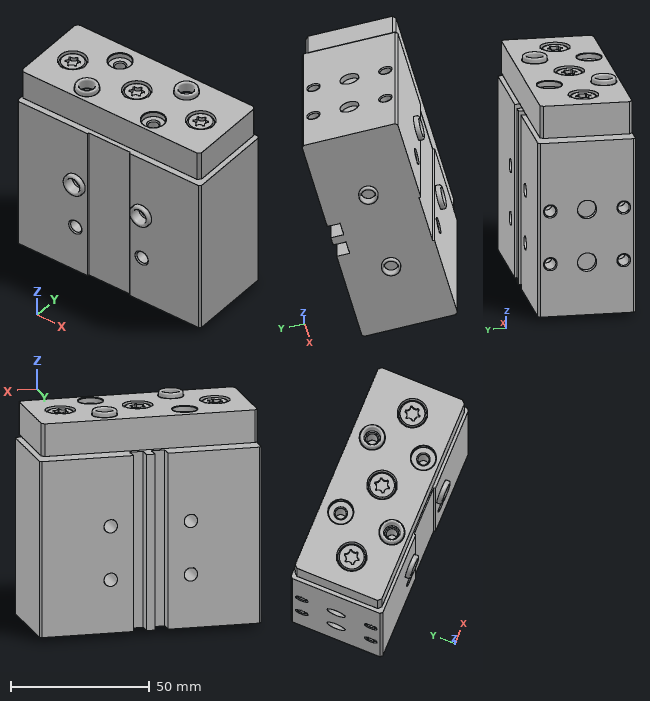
import cadquery as cq
import math


HOUSING_X = 83.0
HOUSING_Y = 36.0
HOUSING_Z = 66.0
HOUSING_CHAMFER = 0.8
FRONT_Y = -HOUSING_Y / 2
BACK_Y = HOUSING_Y / 2
LEFT_X = -HOUSING_X / 2
PANEL_WIDTH = 19.0
PANEL_DEPTH = 0.7
PANEL_FLANK = 0.25
SLOT_WIDTH = 4.9
SLOT_DEPTH = 4.9
SLOT_RIB = 3.15

PATTERN_X = 30.0
PATTERN_STEP = 20.0
MOUNT_HEIGHTS = (PATTERN_STEP, 2 * PATTERN_STEP)
THROUGH_DIAMETER = 5.0
THROUGH_RIM_DIAMETER = 6.0

SIDE_HOLE_SPACING = 27.0
SIDE_HOLE_DIAMETER = 4.15
SIDE_HOLE_RIM_DIAMETER = 5.0
SIDE_HOLE_DEPTH = 8.3
DRILL_TIP_ANGLE = 118.0
SIDE_SEAT_DIAMETER = 7.0
SIDE_SEAT_DEPTH = 2.0

GAP = 1.6
PLATE_X = 80.9
PLATE_Y = 34.0
PLATE_Z = 12.2
PLATE_CHAMFER = 1.2
PLATE_BOTTOM = HOUSING_Z + GAP
PLATE_TOP = PLATE_BOTTOM + PLATE_Z
YOKE_AXIS_Y = -0.9
GUIDE_ROD_X = 28.9
GUIDE_ROD_DIAMETER = 12.0
PISTON_ROD_DIAMETER = 9.0
ROD_ENGAGEMENT = 49.9
PLATE_HOLE_DIAMETER = 4.0
PLATE_HOLE_RIM_DIAMETER = 4.9

HEAD_SEAT_DIAMETER = 11.0
HEAD_DIAMETER = 10.0
HEAD_CHAMFER = 0.5
HEAD_SEAT_DEPTH = 6.0
HEAD_SINK = 0.5
STAR_TIP_DIAMETER = 5.6
STAR_VALLEY_DIAMETER = 4.0
STAR_LOBES = 6
STAR_TIP_ANGLE = 10.0
STAR_DEPTH = 1.5

SLEEVE_DIAMETER = 9.0
SLEEVE_BORE = 6.0
SLEEVE_PROTRUSION = 1.8
SLEEVE_SEAT_DEPTH = 2.2
SLEEVE_SEAT_RIM_DIAMETER = 9.5
SMALL_SLEEVE_DIAMETER = 7.0
SMALL_SLEEVE_BORE = 5.2
SMALL_SLEEVE_PROTRUSION = 1.5
SMALL_SLEEVE_SEAT_DEPTH = 1.5
SMALL_SLEEVE_SPACING = 31.1

RODS = (
    (-GUIDE_ROD_X, GUIDE_ROD_DIAMETER),
    (0, PISTON_ROD_DIAMETER),
    (GUIDE_ROD_X, GUIDE_ROD_DIAMETER),
)
BACKWARD = cq.Vector(0, 1, 0)
RIGHTWARD = cq.Vector(1, 0, 0)
UPWARD = cq.Vector(0, 0, 1)
DOWNWARD = cq.Vector(0, 0, -1)


def cylinder(diameter, length, point, direction):
    return cq.Solid.makeCylinder(diameter / 2, length, point, direction)


def rim_chamfer(rim_diameter, hole_diameter, point, direction):
    """45 degree cone that breaks the mouth of a hole."""
    depth = (rim_diameter - hole_diameter) / 2
    return cq.Solid.makeCone(rim_diameter / 2, hole_diameter / 2, depth, point, direction)


def chamfered_block(size_x, size_y, size_z, chamfer, bottom):
    block = cq.Workplane("XY").workplane(offset=bottom).rect(size_x, size_y).extrude(size_z)
    return block.edges("|Z").chamfer(chamfer)


def cut_front_panel(body):
    """Shallow full-height channel with sloping flanks in the middle of the front face."""
    mouth = PANEL_WIDTH / 2
    floor = mouth - PANEL_FLANK
    floor_y = FRONT_Y + PANEL_DEPTH
    outline = [(-mouth, FRONT_Y), (mouth, FRONT_Y), (floor, floor_y), (-floor, floor_y)]
    return body.cut(cq.Workplane("XY").polyline(outline).close().extrude(HOUSING_Z))


def cut_sensor_slots(body):
    for side in (-1, 1):
        slot = cq.Workplane("XY").box(SLOT_WIDTH, 2 * SLOT_DEPTH, HOUSING_Z, centered=(True, True, False))
        body = body.cut(slot.translate((side * (SLOT_RIB + SLOT_WIDTH) / 2, BACK_Y, 0)))
    return body


def cut_mounting_holes(body):
    """Through holes in Y; the upper pair is recessed for centring sleeves."""
    sleeve_height = MOUNT_HEIGHTS[-1]
    for x in (-PATTERN_X / 2, PATTERN_X / 2):
        for z in MOUNT_HEIGHTS:
            mouth = cq.Vector(x, FRONT_Y, z)
            body = body.cut(cq.Workplane(cylinder(THROUGH_DIAMETER, HOUSING_Y, mouth, BACKWARD)))
            if z == sleeve_height:
                seat = cylinder(SLEEVE_DIAMETER, SLEEVE_SEAT_DEPTH, mouth, BACKWARD)
                body = body.cut(cq.Workplane(seat))
                mouth = mouth + BACKWARD * SLEEVE_SEAT_DEPTH
            rim = rim_chamfer(THROUGH_RIM_DIAMETER, THROUGH_DIAMETER, mouth, BACKWARD)
            body = body.cut(cq.Workplane(rim))
    return body


def cut_side_holes(body):
    """Blind drilled holes and shallow round seats in the left side."""
    tip_length = SIDE_HOLE_DIAMETER / 2 / math.tan(math.radians(DRILL_TIP_ANGLE / 2))
    for z in MOUNT_HEIGHTS:
        seat = cylinder(SIDE_SEAT_DIAMETER, SIDE_SEAT_DEPTH, cq.Vector(LEFT_X, 0, z), RIGHTWARD)
        body = body.cut(cq.Workplane(seat))
        for y in (-SIDE_HOLE_SPACING / 2, SIDE_HOLE_SPACING / 2):
            mouth = cq.Vector(LEFT_X, y, z)
            end = mouth + RIGHTWARD * SIDE_HOLE_DEPTH
            drill = cylinder(SIDE_HOLE_DIAMETER, SIDE_HOLE_DEPTH, mouth, RIGHTWARD)
            tip = cq.Solid.makeCone(SIDE_HOLE_DIAMETER / 2, 0, tip_length, end, RIGHTWARD)
            rim = rim_chamfer(SIDE_HOLE_RIM_DIAMETER, SIDE_HOLE_DIAMETER, mouth, RIGHTWARD)
            for cutter in (drill, tip, rim):
                body = body.cut(cq.Workplane(cutter))
    return body


def cut_rod_bores(body):
    for x, diameter in RODS:
        bore = cylinder(diameter, ROD_ENGAGEMENT, cq.Vector(x, YOKE_AXIS_Y, HOUSING_Z), DOWNWARD)
        body = body.cut(cq.Workplane(bore))
    return body


def cut_bottom_seats(body):
    for x in (-SMALL_SLEEVE_SPACING / 2, SMALL_SLEEVE_SPACING / 2):
        seat = cylinder(SMALL_SLEEVE_DIAMETER, SMALL_SLEEVE_SEAT_DEPTH, cq.Vector(x, 0, 0), UPWARD)
        body = body.cut(cq.Workplane(seat))
    return body


def make_housing():
    body = chamfered_block(HOUSING_X, HOUSING_Y, HOUSING_Z, HOUSING_CHAMFER, 0)
    body = cut_front_panel(body)
    body = cut_sensor_slots(body)
    body = cut_mounting_holes(body)
    body = cut_side_holes(body)
    body = cut_rod_bores(body)
    return cut_bottom_seats(body)


def cut_plate_holes(body):
    """Four stepped holes through the plate, each with a sleeve seat at the top."""
    for x in (-PATTERN_X / 2, PATTERN_X / 2):
        for side in (-1, 1):
            y = YOKE_AXIS_Y + side * PATTERN_STEP / 2
            mouth = cq.Vector(x, y, PLATE_TOP)
            floor = mouth + DOWNWARD * SLEEVE_SEAT_DEPTH
            seat = cylinder(SLEEVE_DIAMETER, SLEEVE_SEAT_DEPTH, mouth, DOWNWARD)
            seat_rim = rim_chamfer(SLEEVE_SEAT_RIM_DIAMETER, SLEEVE_DIAMETER, mouth, DOWNWARD)
            hole = cylinder(PLATE_HOLE_DIAMETER, PLATE_Z, mouth, DOWNWARD)
            hole_rim = rim_chamfer(PLATE_HOLE_RIM_DIAMETER, PLATE_HOLE_DIAMETER, floor, DOWNWARD)
            for cutter in (seat, seat_rim, hole, hole_rim):
                body = body.cut(cq.Workplane(cutter))
    return body


def star_point(radius, angle):
    return (radius * math.cos(angle), radius * math.sin(angle))


def star_socket():
    """Six-lobed recess, one lobe pointing along +Y, with its mouth at Z = 0."""
    pitch = 2 * math.pi / STAR_LOBES
    tip_radius = STAR_TIP_DIAMETER / 2
    valley_radius = STAR_VALLEY_DIAMETER / 2
    half_tip = math.radians(STAR_TIP_ANGLE / 2)
    first = math.pi / 2
    outline = cq.Workplane("XY").moveTo(*star_point(tip_radius, first - half_tip))
    for i in range(STAR_LOBES):
        tip = first + i * pitch
        next_tip = tip + pitch
        outline = outline.lineTo(*star_point(tip_radius, tip + half_tip)).threePointArc(
            star_point(valley_radius, tip + pitch / 2), star_point(tip_radius, next_tip - half_tip)
        )
    return outline.close().extrude(-STAR_DEPTH)


def add_screw_head(body, x):
    """Counterbore with a chamfered screw head standing in it."""
    head_top = PLATE_TOP - HEAD_SINK
    seat_floor = PLATE_TOP - HEAD_SEAT_DEPTH
    centre = cq.Vector(x, YOKE_AXIS_Y, PLATE_TOP)
    body = body.cut(cq.Workplane(cylinder(HEAD_SEAT_DIAMETER, HEAD_SEAT_DEPTH, centre, DOWNWARD)))
    head = cq.Workplane("XY").circle(HEAD_DIAMETER / 2).extrude(head_top - seat_floor)
    head = head.faces(">Z").edges().chamfer(HEAD_CHAMFER)
    body = body.union(head.translate((x, YOKE_AXIS_Y, seat_floor)))
    return body.cut(star_socket().translate((x, YOKE_AXIS_Y, head_top)))


def make_yoke():
    body = chamfered_block(PLATE_X, PLATE_Y, PLATE_Z, PLATE_CHAMFER, PLATE_BOTTOM)
    body = cut_plate_holes(body)
    for x, diameter in RODS:
        rod = cylinder(diameter, GAP + ROD_ENGAGEMENT, cq.Vector(x, YOKE_AXIS_Y, PLATE_BOTTOM), DOWNWARD)
        body = body.union(cq.Workplane(rod))
        body = add_screw_head(body, x)
    return body


def make_sleeve(diameter, bore, seat_depth, protrusion, point, direction):
    """Ring with a fully rounded outer end; `point` is on the surface it stands out of."""
    wall = (diameter - bore) / 2
    shoulder = protrusion - wall / 2
    profile = (
        cq.Workplane("XY")
        .moveTo(bore / 2, -seat_depth)
        .lineTo(diameter / 2, -seat_depth)
        .lineTo(diameter / 2, shoulder)
        .threePointArc(((bore + wall) / 2, protrusion), (bore / 2, shoulder))
        .close()
    )
    ring = profile.revolve(360, (0, 0, 0), (0, 1, 0)).val()
    plane = cq.Plane(origin=point, xDir=direction.cross(cq.Vector(1, 0, 0)), normal=(1, 0, 0))
    return ring.moved(cq.Location(plane))


def make_large_sleeve(point, direction):
    return make_sleeve(SLEEVE_DIAMETER, SLEEVE_BORE, SLEEVE_SEAT_DEPTH, SLEEVE_PROTRUSION, point, direction)


def make_small_sleeve(x):
    return make_sleeve(
        SMALL_SLEEVE_DIAMETER,
        SMALL_SLEEVE_BORE,
        SMALL_SLEEVE_SEAT_DEPTH,
        SMALL_SLEEVE_PROTRUSION,
        cq.Vector(x, 0, 0),
        DOWNWARD,
    )


housing = make_housing()
yoke = make_yoke()

front_sleeves = []
plate_sleeves = []
bottom_sleeves = []
for side in (-1, 1):
    front_point = cq.Vector(side * PATTERN_X / 2, FRONT_Y, MOUNT_HEIGHTS[-1])
    front_sleeves.append(make_large_sleeve(front_point, -BACKWARD))
    plate_point = cq.Vector(side * PATTERN_X / 2, YOKE_AXIS_Y + side * PATTERN_STEP / 2, PLATE_TOP)
    plate_sleeves.append(make_large_sleeve(plate_point, UPWARD))
    bottom_sleeves.append(make_small_sleeve(side * SMALL_SLEEVE_SPACING / 2))

result = cq.Compound.makeCompound(
    [housing.val(), yoke.val(), *front_sleeves, *plate_sleeves, *bottom_sleeves]
)